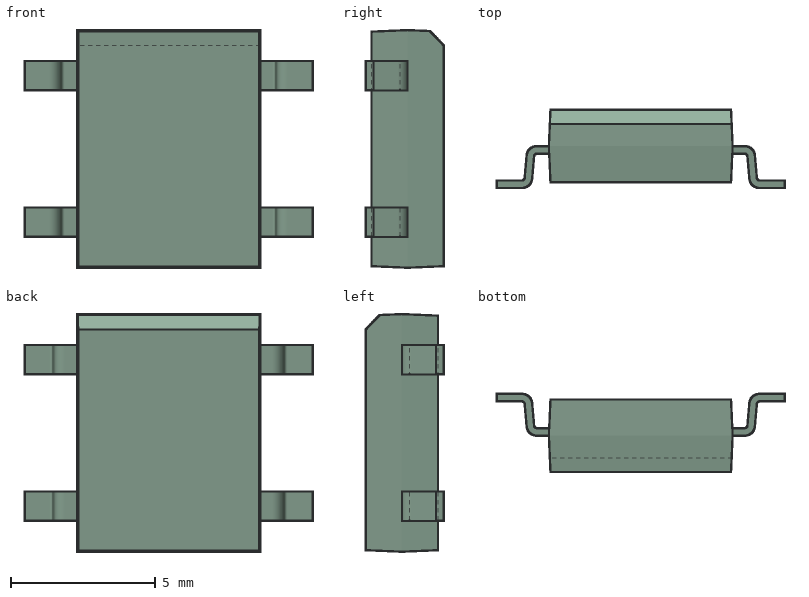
import cadquery as cq
import math

HOUSING_WIDTH = 6.38
HOUSING_HEIGHT = 8.25
FRONT_DEPTH = 1.26
BACK_DEPTH = 1.26
TAPER = 2.5
CHAMFER_DEPTH = 0.52
CHAMFER_DROP = 0.54

LEAD_SPAN = 10.0
LEAD_WIDTH = 1.02
LEAD_THICKNESS = 0.27
LEAD_PITCH = 5.08
FOOT_FLAT = 0.88
FOOT_DEPTH = 1.46
LEG_LEAN = 5.0
OUTER_BEND_RADIUS = 0.36
INNER_BEND_RADIUS = OUTER_BEND_RADIUS - LEAD_THICKNESS
ROOT_OVERLAP = 0.2


def housing_half(direction, depth):
    """Tapered half of the housing, extruded from the parting plane along +Y or -Y."""
    plane = cq.Plane(origin=(0, 0, 0), xDir=(1, 0, 0), normal=(0, direction, 0))
    return cq.Workplane(plane).rect(HOUSING_WIDTH, HOUSING_HEIGHT).extrude(depth, taper=TAPER)


def make_housing():
    """Both tapered halves in one solid, with the top back edge chamfered."""
    halves = housing_half(-1, FRONT_DEPTH).union(
        housing_half(1, BACK_DEPTH)
    )
    top = HOUSING_HEIGHT / 2
    chamfer_wedge = (
        cq.Workplane("YZ")
        .polyline([
            (BACK_DEPTH - CHAMFER_DEPTH, top),
            (BACK_DEPTH, top),
            (BACK_DEPTH, top - CHAMFER_DROP),
        ])
        .close()
        .extrude(HOUSING_WIDTH / 2, both=True)
    )
    return halves.cut(chamfer_wedge)


def make_lead(housing):
    """Right-hand lead centred on Z = 0, ending flush on the housing wall."""
    half_bend = math.radians(90 - LEG_LEAN) / 2
    tip_x = LEAD_SPAN / 2
    root_x = HOUSING_WIDTH / 2 - ROOT_OVERLAP
    foot_top = LEAD_THICKNESS - FOOT_DEPTH

    corner_shift = LEAD_THICKNESS * math.tan(half_bend)
    foot_outer_x = tip_x - FOOT_FLAT - OUTER_BEND_RADIUS * math.tan(half_bend)
    foot_inner_x = foot_outer_x + corner_shift
    shoulder_outer_x = foot_inner_x + foot_top * math.tan(math.radians(LEG_LEAN))
    shoulder_inner_x = shoulder_outer_x - corner_shift

    strip = (
        cq.Workplane("XY")
        .polyline([
            (root_x, 0),
            (shoulder_outer_x, 0),
            (foot_inner_x, foot_top),
            (tip_x, foot_top),
            (tip_x, -FOOT_DEPTH),
            (foot_outer_x, -FOOT_DEPTH),
            (shoulder_inner_x, -LEAD_THICKNESS),
            (root_x, -LEAD_THICKNESS),
        ])
        .close()
        .extrude(LEAD_WIDTH / 2, both=True)
    )

    def round_bend(body, outer_corner, inner_corner):
        for corner, radius in (
            (outer_corner, OUTER_BEND_RADIUS),
            (inner_corner, INNER_BEND_RADIUS),
        ):
            nearest_edge = cq.selectors.NearestToPointSelector((*corner, 0))
            body = body.edges("|Z").edges(nearest_edge).fillet(radius)
        return body

    strip = round_bend(strip, (shoulder_outer_x, 0), (shoulder_inner_x, -LEAD_THICKNESS))
    strip = round_bend(strip, (foot_outer_x, -FOOT_DEPTH), (foot_inner_x, foot_top))
    return strip.cut(housing)


housing = make_housing()
right_lead = make_lead(housing)
left_lead = right_lead.mirror("YZ")

leads = []
for lead in (left_lead, right_lead):
    for height in (-LEAD_PITCH / 2, LEAD_PITCH / 2):
        leads.append(lead.translate((0, 0, height)).solids().val())

result = cq.Compound.makeCompound([housing.solids().val(), *leads])